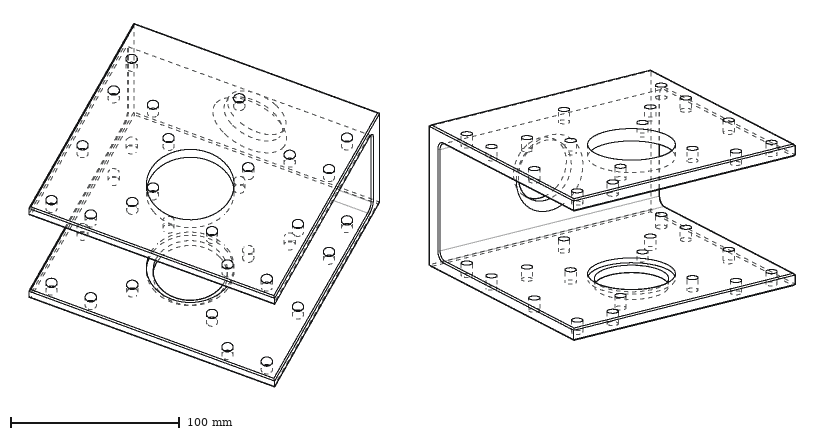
import cadquery as cq

width = 160.0
depth = 150.0
height = 90.0
flange_thickness = 7.8
web_thickness = 10.0
inner_radius = 5.0
edge_chamfer = 1.0

upper_bore_diameter = 52.0
lower_bore_diameter = 44.0
lower_recess_depth = 3.0
bore_from_front = 55.0
web_hole_diameter = 38.0
web_countersink = 5.0

small_hole_diameter = 6.7
outer_offset = 70.0
middle_offset = 44.5
inner_offset = 26.0

front_y = -depth / 2
back_y = depth / 2
web_inner_y = back_y - web_thickness
bore_y = front_y + bore_from_front
half_height = height / 2
inner_half_height = half_height - flange_thickness


def cylinder_z(diameter, bottom, top):
    """Cylinder on the bore axis between two heights."""
    return (
        cq.Workplane("XY", origin=(0, bore_y, bottom))
        .circle(diameter / 2)
        .extrude(top - bottom)
    )


def make_channel():
    """C-shaped channel with rounded inner corners and chamfered edges."""
    body = cq.Workplane("XY").box(width, depth, height)
    body = body.faces(">Z or <Z").chamfer(edge_chamfer)

    cavity = (
        cq.Workplane("XY")
        .box(width, depth - web_thickness, 2 * inner_half_height)
        .translate((0, -web_thickness / 2, 0))
        .edges("|X and >Y")
        .fillet(inner_radius)
    )
    channel = body.cut(cavity)

    margin = edge_chamfer / 2
    reach = cq.selectors.BoxSelector(
        (-width, front_y - margin, -inner_half_height - margin),
        (width, web_inner_y + margin, inner_half_height + margin),
    )
    rim = (cq.selectors.StringSyntaxSelector("<X or >X")
           + cq.selectors.StringSyntaxSelector("<Y"))
    return channel.edges(reach).edges(rim).chamfer(edge_chamfer)


def make_small_holes():
    """Hole pattern passing through both flanges."""
    places = [(0, outer_offset)]
    for side in (-1, 1):
        for y in (outer_offset, middle_offset, 0, -middle_offset):
            places.append((side * outer_offset, y))
        for end in (-1, 1):
            places.append((side * middle_offset, end * middle_offset))
            places.append((side * inner_offset, end * inner_offset))
    return (
        cq.Workplane("XY", origin=(0, bore_y, -half_height))
        .pushPoints(places)
        .circle(small_hole_diameter / 2)
        .extrude(height)
    )


def make_web_hole():
    """Hole through the web, countersunk at 45 degrees from the inside."""
    radius = web_hole_diameter / 2
    profile = [
        (0, web_inner_y),
        (radius + web_countersink, web_inner_y),
        (radius, web_inner_y + web_countersink),
        (radius, back_y),
        (0, back_y),
    ]
    return cq.Workplane("XY").polyline(profile).close().revolve(360, (0, 0), (0, 1))


upper_bore = cylinder_z(upper_bore_diameter, inner_half_height, half_height)
lower_bore = cylinder_z(lower_bore_diameter, -half_height, -inner_half_height)
lower_recess = cylinder_z(
    upper_bore_diameter, -inner_half_height - lower_recess_depth, -inner_half_height
)

result = (
    make_channel()
    .cut(make_small_holes())
    .cut(upper_bore)
    .cut(lower_bore)
    .cut(lower_recess)
    .cut(make_web_hole())
)